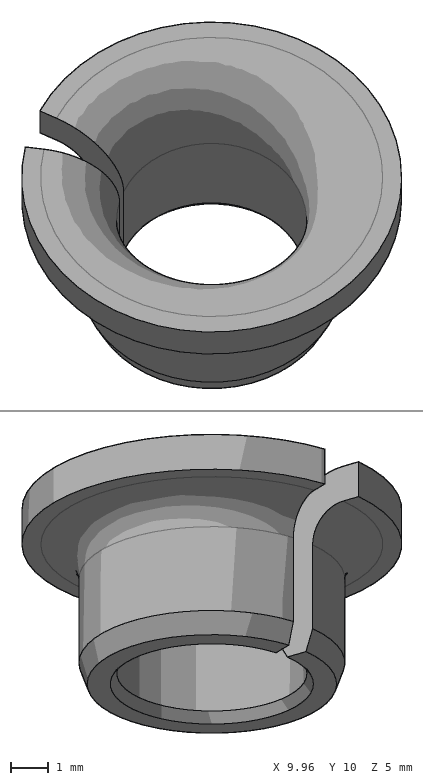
import cadquery as cq
import math

total_height = 5.0
flange_thickness = 1.0

flange_radius = 5.0
body_radius = 3.5
bore_radius = 2.5

neck_fillet_radius = 1.0
wall_thickness = body_radius - bore_radius
mouth_radius = neck_fillet_radius + wall_thickness
arc_centre_r = body_radius + neck_fillet_radius
arc_centre_z = total_height - mouth_radius
flange_bottom_z = total_height - flange_thickness

outer_chamfer_height = 0.6
outer_chamfer_angle = 20.0
outer_chamfer_width = outer_chamfer_height * math.tan(math.radians(outer_chamfer_angle))
bore_chamfer_height = 0.3
bore_chamfer_angle = 30.0
bore_chamfer_width = bore_chamfer_height * math.tan(math.radians(bore_chamfer_angle))

split_half_angle = 10.0
split_apex_r = 1.5
split_reach = flange_radius + 1.0


def arc_midpoint(radius):
    """Middle of the quarter arc that faces the axis and the top, about the common centre."""
    offset = radius * math.cos(math.radians(45))
    return (arc_centre_r - offset, arc_centre_z + offset)


def flanged_bushing():
    """Revolve the wall section, drawn as (radius, height), about the Z axis."""
    section = (
        cq.Workplane("XZ")
        .moveTo(bore_radius + bore_chamfer_width, 0)
        .lineTo(body_radius - outer_chamfer_width, 0)
        .lineTo(body_radius, outer_chamfer_height)
        .lineTo(body_radius, arc_centre_z)
        .threePointArc(arc_midpoint(neck_fillet_radius), (arc_centre_r, flange_bottom_z))
        .lineTo(flange_radius, flange_bottom_z)
        .lineTo(flange_radius, total_height)
        .lineTo(arc_centre_r, total_height)
        .threePointArc(arc_midpoint(mouth_radius), (bore_radius, arc_centre_z))
        .lineTo(bore_radius, bore_chamfer_height)
        .close()
    )
    bushing = section.revolve(360, (0, 0, 0), (0, 1, 0))
    return bushing.rotate((0, 0, 0), (0, 0, 1), 180)


def split_wedge():
    """Full-height wedge that widens outward from its apex inside the bore."""
    half_width = (split_reach - split_apex_r) * math.tan(math.radians(split_half_angle))
    return (
        cq.Workplane("XY")
        .moveTo(-split_apex_r, 0)
        .lineTo(-split_reach, half_width)
        .lineTo(-split_reach, -half_width)
        .close()
        .extrude(total_height)
    )


result = flanged_bushing().cut(split_wedge())